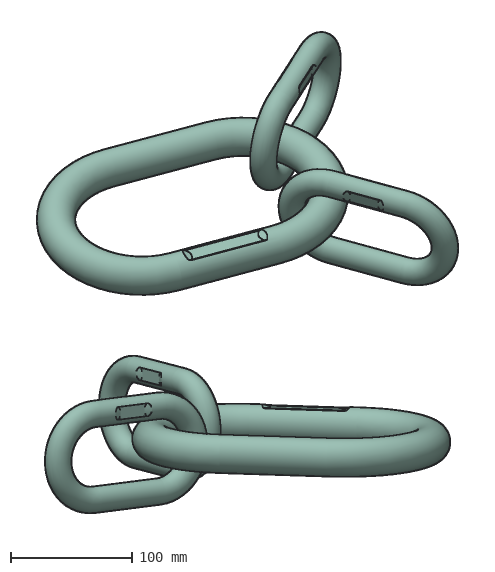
import cadquery as cq
import math

MASTER_WIRE = 32.0
MASTER_WIDTH = 174.0
MASTER_LEG = 90.0
MASTER_FLAT_LENGTH = 73.0
MASTER_FLAT_WIDTH = 13.5
MASTER_FLAT_DEPTH = 2.2

COUPLING_WIRE = 22.0
COUPLING_WIDTH = 94.0
COUPLING_LEG = 65.0
COUPLING_FLAT_LENGTH = 36.5
COUPLING_FLAT_WIDTH = 10.7
COUPLING_FLAT_DEPTH = 2.0

RAMP_LENGTH = 6.3
RAMP_CROWN_RADIUS = 25.3

SPREAD_ANGLE = 45
OVERALL_X = 278.0
OVERALL_Y = 316.0

coupling_length = COUPLING_LEG + COUPLING_WIDTH
tilt = math.radians(SPREAD_ANGLE)
bow_centre_reach = (coupling_length - COUPLING_WIRE) / 2
coupling_half_x = bow_centre_reach * math.cos(tilt) + COUPLING_WIRE / 2
coupling_half_y = bow_centre_reach * math.sin(tilt) + COUPLING_WIRE / 2
master_bottom = -(MASTER_LEG + MASTER_WIDTH) / 2
coupling_x = OVERALL_X / 2 - coupling_half_x
coupling_y = master_bottom + OVERALL_Y - coupling_half_y


def chain_link(wire, width, leg):
    """Round-wire link in the XY plane, with its straight legs along Y."""
    bend_radius = (width - wire) / 2
    path = (
        cq.Workplane("XY")
        .moveTo(bend_radius, -leg / 2)
        .lineTo(bend_radius, leg / 2)
        .threePointArc((0, leg / 2 + bend_radius), (-bend_radius, leg / 2))
        .lineTo(-bend_radius, -leg / 2)
        .threePointArc((0, -leg / 2 - bend_radius), (bend_radius, -leg / 2))
        .close()
    )
    section = cq.Workplane("XZ", origin=(bend_radius, -leg / 2, 0)).circle(wire / 2)
    return section.sweep(path).solids()


def flat_cutter(wire, width, length, flat_width, depth):
    """Cutter for a marking flat on the top of the +X leg, with a crowned ramp at each end."""
    floor_z = wire / 2 - depth
    ramp_start = length / 2 - RAMP_LENGTH
    ramp_angle = math.degrees(math.atan2(depth, RAMP_LENGTH))
    block = cq.Workplane("XY", origin=(0, 0, floor_z)).rect(flat_width, length).extrude(2 * depth)
    ramp = (
        cq.Workplane("XZ")
        .center(0, -RAMP_CROWN_RADIUS)
        .circle(RAMP_CROWN_RADIUS)
        .extrude(length, both=True)
        .rotate((0, 0, 0), (1, 0, 0), ramp_angle)
        .translate((0, ramp_start, floor_z))
    )
    half_space = cq.Workplane("XY").box(width, length, width).translate((0, length / 2, 0))
    upper_half = block.intersect(half_space).cut(ramp)
    cutter = upper_half.union(upper_half.mirror("XZ"))
    return cutter.translate(((width - wire) / 2, 0, 0))


def make_master_link():
    link = chain_link(MASTER_WIRE, MASTER_WIDTH, MASTER_LEG)
    cutter = flat_cutter(
        MASTER_WIRE, MASTER_WIDTH, MASTER_FLAT_LENGTH, MASTER_FLAT_WIDTH, MASTER_FLAT_DEPTH
    )
    return link.cut(cutter).solids()


def make_coupling_link(side):
    """Upright coupling link; side is +1 for the +X link and -1 for the -X link."""
    link = chain_link(COUPLING_WIRE, COUPLING_WIDTH, COUPLING_LEG)
    cutter = flat_cutter(
        COUPLING_WIRE, COUPLING_WIDTH, COUPLING_FLAT_LENGTH, COUPLING_FLAT_WIDTH, COUPLING_FLAT_DEPTH
    )
    link = link.cut(cutter).cut(cutter.mirror("XY")).solids()
    link = link.rotate((0, 0, 0), (0, 1, 0), -90)
    link = link.rotate((0, 0, 0), (0, 0, 1), -side * (90 - SPREAD_ANGLE))
    return link.translate((side * coupling_x, coupling_y, 0))


master_link = make_master_link()
coupling_links = [make_coupling_link(side) for side in (-1, 1)]

result = cq.Compound.makeCompound([master_link.val(), *[link.val() for link in coupling_links]])